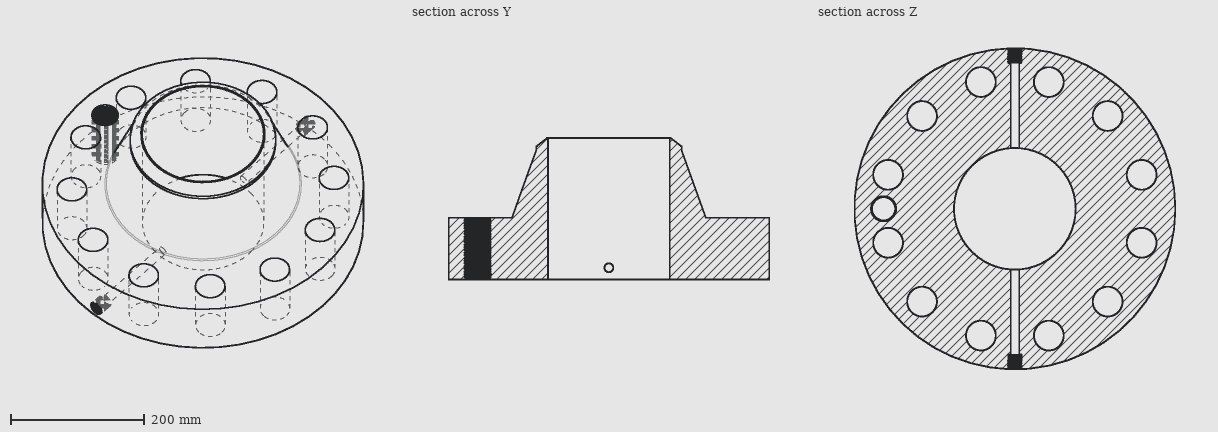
import cadquery as cq
import math

flange_diameter = 482.5
flange_thickness = 93.0
flange_radius = flange_diameter / 2

total_height = 213.0
hub_base_diameter = 292.0
hub_base_fillet = 2.5
pipe_diameter = 219.0
pipe_length = 6.0
bore_diameter = 182.5
weld_land = 2.0
bevel_angle = 37.5
top_radius = bore_diameter / 2 + weld_land
bevel_height = (pipe_diameter / 2 - top_radius) * math.tan(math.radians(bevel_angle))
bevel_z = total_height - bevel_height
hub_top_z = bevel_z - pipe_length

bolt_count = 12
bolt_circle_diameter = 394.5
bolt_hole_diameter = 44.5
first_bolt_angle = 360 / bolt_count / 2

jack_major_diameter = 39.5
jack_minor_diameter = 34.7
jack_pitch = 4.0

tap_height = 18.0
tap_major_diameter = 21.0
tap_minor_diameter = 17.0
tap_pitch = 1.85
tap_thread_depth = 22.0
tap_drill_diameter = 13.0


def threaded_bore(major_diameter, minor_diameter, pitch, depth):
    """Cutter along +Z from the origin: V-shaped thread grooves, widest at both ends."""
    turns = round(depth / pitch)
    step = depth / turns
    profile = cq.Workplane("XZ").lineTo(major_diameter / 2, 0)
    for turn in range(turns):
        start = turn * step
        profile = profile.lineTo(minor_diameter / 2, start + step / 2)
        profile = profile.lineTo(major_diameter / 2, start + step)
    return profile.lineTo(0, depth).close().revolve(360, (0, 0, 0), (0, 1, 0))


def make_body():
    """Flange disc and weld neck, revolved about Z with the bore left open."""
    bore_radius = bore_diameter / 2
    body = (
        cq.Workplane("XZ")
        .moveTo(bore_radius, 0)
        .lineTo(flange_radius, 0)
        .lineTo(flange_radius, flange_thickness)
        .lineTo(hub_base_diameter / 2, flange_thickness)
        .lineTo(pipe_diameter / 2, hub_top_z)
        .lineTo(pipe_diameter / 2, bevel_z)
        .lineTo(top_radius, total_height)
        .lineTo(bore_radius, total_height)
        .close()
        .revolve(360, (0, 0, 0), (0, 1, 0))
    )
    hub_base_edge = cq.selectors.RadiusNthSelector(-2)
    return body.edges("%CIRCLE").edges(hub_base_edge).fillet(hub_base_fillet)


def make_bolt_holes():
    return (
        cq.Workplane("XY")
        .polarArray(bolt_circle_diameter / 2, first_bolt_angle, 360, bolt_count)
        .circle(bolt_hole_diameter / 2)
        .extrude(flange_thickness)
    )


def make_jack_hole():
    thread = threaded_bore(jack_major_diameter, jack_minor_diameter, jack_pitch, flange_thickness)
    return thread.translate((-bolt_circle_diameter / 2, 0, 0))


def make_pressure_tap():
    """Tap on the -Y side: threaded mouth, then a plain drilling into the bore."""
    thread = threaded_bore(tap_major_diameter, tap_minor_diameter, tap_pitch, tap_thread_depth)
    drill = cq.Workplane("XY").circle(tap_drill_diameter / 2).extrude(flange_radius)
    tap = thread.union(drill)
    return tap.rotate((0, 0, 0), (1, 0, 0), -90).translate((0, -flange_radius, tap_height))


result = make_body().cut(make_bolt_holes()).cut(make_jack_hole())
for side_angle in (0, 180):
    result = result.cut(make_pressure_tap().rotate((0, 0, 0), (0, 0, 1), side_angle))